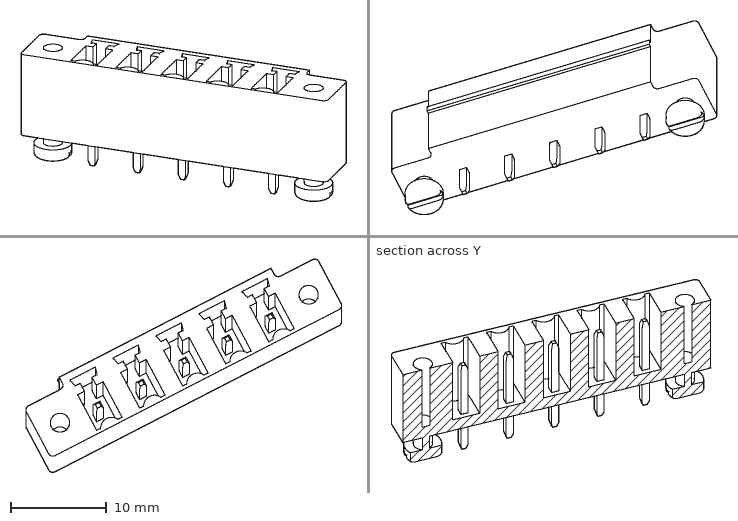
import cadquery as cq

housing_length = 34.52
housing_height = 9.2
ear_depth = 6.0
ear_length = 4.76
block_length = housing_length - 2 * ear_length
block_depth = 7.2
corner_radius = 0.5

rib_projection = 0.35
rib_height = 0.65
rib_bottom = 5.65

contact_count = 5
contact_pitch = 5.08
contact_y = 2.87

floor_thickness = 1.5
chamber_width = 3.0
chamber_front = 0.38
chamber_back = 4.65
neck_width = 1.4
neck_back = 5.6
dovetail_back = 6.4
dovetail_front_width = 2.6
dovetail_back_width = 3.0

key_radius = 1.15
key_crest = 1.0

pin_size = 0.82
pin_tip_size = 0.45
pin_taper = 0.6
pin_bottom = -3.4
pin_top = 7.85

screw_x = housing_length / 2 - 2.58
screw_y = contact_y
screw_diameter = 2.0
shank_length = 1.55
head_diameter = 4.0
head_height = 1.45
head_edge_radius = 0.5
slot_width = 0.65
slot_depth = 0.7
threaded_hole_depth = housing_height - floor_thickness


def make_housing():
    ears = cq.Workplane("XY").box(housing_length, ear_depth, housing_height, centered=(True, False, False))
    block = cq.Workplane("XY").box(block_length, block_depth, housing_height, centered=(True, False, False))
    body = ears.union(block)
    margin = corner_radius
    rounded_zone = cq.selectors.BoxSelector(
        (-housing_length, -margin, -margin),
        (housing_length, (ear_depth + block_depth) / 2, housing_height + margin),
    )
    body = body.edges("|Z").edges(rounded_zone).fillet(corner_radius)
    rib = cq.Workplane("XY", origin=(0, block_depth, rib_bottom)).box(
        block_length, rib_projection, rib_height, centered=(True, False, False)
    )
    return body.union(rib)


def make_cavity(x):
    right_side = [
        (chamber_width / 2, chamber_front),
        (chamber_width / 2, chamber_back),
        (neck_width / 2, chamber_back),
        (neck_width / 2, neck_back),
        (dovetail_front_width / 2, neck_back),
        (dovetail_back_width / 2, dovetail_back),
    ]
    left_side = [(-px, py) for px, py in reversed(right_side)]
    depth = housing_height - floor_thickness
    cavity = (
        cq.Workplane("XY", origin=(x, 0, floor_thickness))
        .polyline(right_side + left_side)
        .close()
        .extrude(depth)
    )
    key = (
        cq.Workplane("XY", origin=(x, key_crest - key_radius, floor_thickness))
        .circle(key_radius)
        .extrude(depth)
    )
    return cavity.cut(key)


def make_pin_end(x, z, taper):
    """Tapered end from the full section at z to the tip at z + taper."""
    return (
        cq.Workplane("XY", origin=(x, contact_y, z))
        .rect(pin_size, pin_size)
        .workplane(offset=taper)
        .rect(pin_tip_size, pin_tip_size)
        .loft()
    )


def make_pin(x):
    shaft_bottom = pin_bottom + pin_taper
    shaft_top = pin_top - pin_taper
    shaft = (
        cq.Workplane("XY", origin=(x, contact_y, shaft_bottom))
        .rect(pin_size, pin_size)
        .extrude(shaft_top - shaft_bottom)
    )
    return shaft.union(make_pin_end(x, shaft_top, pin_taper)).union(make_pin_end(x, shaft_bottom, -pin_taper))


def make_screw(x):
    shank = (
        cq.Workplane("XY", origin=(x, screw_y, -shank_length))
        .circle(screw_diameter / 2)
        .extrude(shank_length)
    )
    head = (
        cq.Workplane("XY", origin=(x, screw_y, -shank_length - head_height))
        .circle(head_diameter / 2)
        .extrude(head_height)
        .faces("<Z")
        .edges()
        .fillet(head_edge_radius)
    )
    slot = (
        cq.Workplane("XY", origin=(x, screw_y, -shank_length - head_height))
        .rect(head_diameter, slot_width)
        .extrude(slot_depth)
    )
    return shank.union(head.cut(slot))


def make_threaded_hole(x):
    return (
        cq.Workplane("XY", origin=(x, screw_y, housing_height - threaded_hole_depth))
        .circle(screw_diameter / 2)
        .extrude(threaded_hole_depth)
    )


result = make_housing()
for i in range(contact_count):
    contact_x = (i - (contact_count - 1) / 2) * contact_pitch
    result = result.cut(make_cavity(contact_x)).union(make_pin(contact_x))
for side in (-1, 1):
    result = result.cut(make_threaded_hole(side * screw_x)).union(make_screw(side * screw_x))